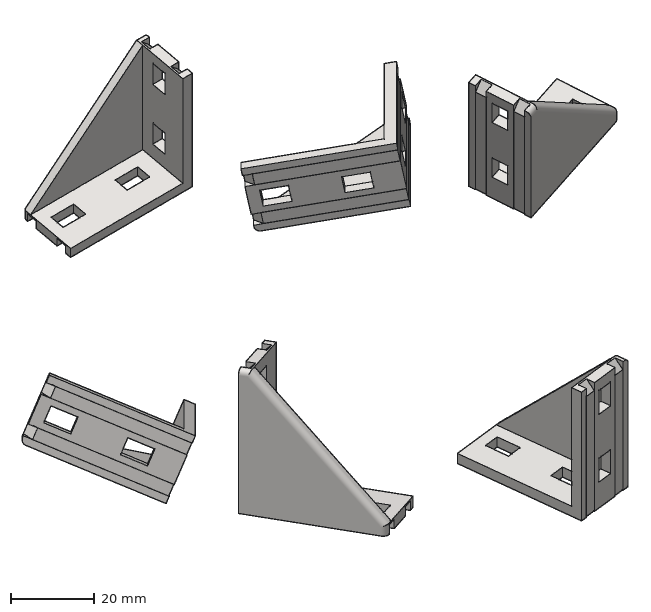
import cadquery as cq

width = 18.0
leg_length = 38.0

wall = 3.0
edge_radius = 1.5

hole_width = 4.5
hole_length = 7.03
hole_spacing = 20.0
first_hole_from_corner = 11.2
hole_positions = [first_hole_from_corner, first_hole_from_corner + hole_spacing]

channel_width = 3.1
channel_depth = 0.1
notch_depth = 2.5
channel_spacing = 11.02
channel_centers = [(width - channel_spacing) / 2, (width + channel_spacing) / 2]


def extrude_along_x(points, x_start, length):
    profile = cq.Workplane("YZ", origin=(x_start, 0, 0)).polyline(points).close()
    return profile.extrude(length)


def make_side_wall():
    """Triangular web with blunt tips, rounded along its free outer edges."""
    outline = [
        (0, 0),
        (0, leg_length),
        (-wall, leg_length),
        (-leg_length, wall),
        (-leg_length, 0),
    ]
    web = extrude_along_x(outline, 0, wall)
    slope_middle = (leg_length + wall) / 2
    free_edge_middles = [
        (0, -wall / 2, leg_length),
        (0, -slope_middle, slope_middle),
        (0, -leg_length, wall / 2),
    ]
    free_edges = web.newObject([])
    for middle in free_edge_middles:
        nearest = cq.selectors.NearestToPointSelector(middle)
        free_edges = free_edges.add(web.faces("<X").edges(nearest))
    return free_edges.fillet(edge_radius)


def make_legs():
    """L-shaped pair of legs, starting inside the web where its rounding ends."""
    outline = [
        (0, 0),
        (0, leg_length),
        (-wall, leg_length),
        (-wall, wall),
        (-leg_length, wall),
        (-leg_length, 0),
    ]
    return extrude_along_x(outline, edge_radius, width - edge_radius)


def make_holes():
    """Through cutters for the holes, centered across the width of each leg."""
    cutters = cq.Workplane()
    for distance in hole_positions:
        floor_hole = cq.Workplane().box(hole_width, hole_length, wall)
        back_hole = cq.Workplane().box(hole_width, wall, hole_length)
        cutters = cutters.add(floor_hole.translate((width / 2, -distance, wall / 2)))
        cutters = cutters.add(back_hole.translate((width / 2, -wall / 2, distance)))
    return cutters.combine()


def make_channels():
    """Channels around the outer corner, with a 45 degree slope down to full depth at each tip."""
    slope_start = leg_length - (notch_depth - channel_depth)
    outline = [
        (0, 0),
        (0, leg_length),
        (-notch_depth, leg_length),
        (-channel_depth, slope_start),
        (-channel_depth, channel_depth),
        (-slope_start, channel_depth),
        (-leg_length, notch_depth),
        (-leg_length, 0),
    ]
    cutters = cq.Workplane()
    for center in channel_centers:
        cutters = cutters.add(extrude_along_x(outline, center - channel_width / 2, channel_width))
    return cutters.combine()


bracket = make_side_wall().union(make_legs())
result = bracket.cut(make_holes()).cut(make_channels())